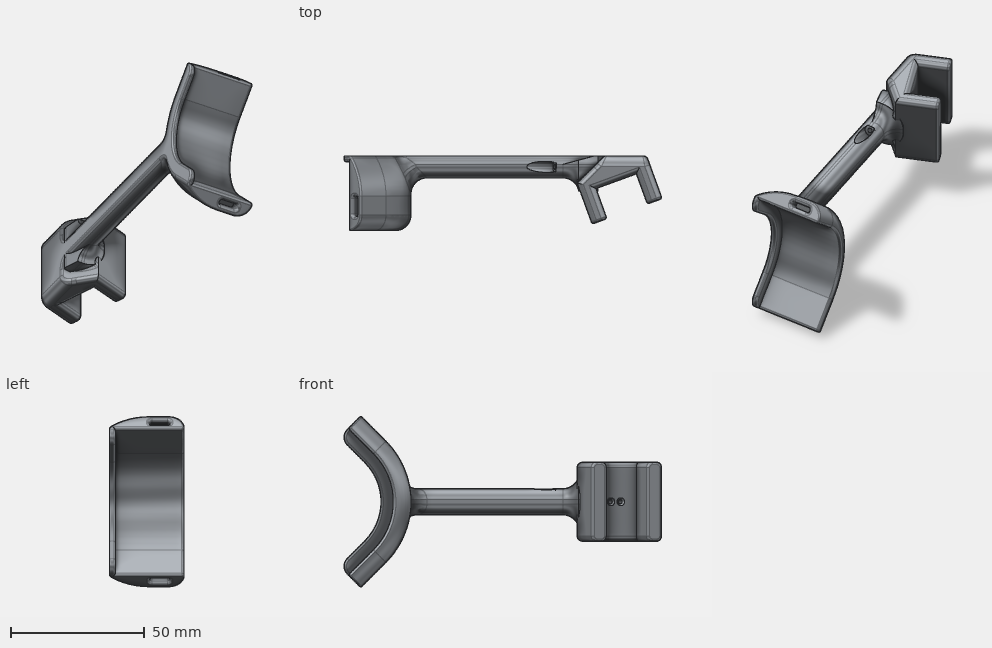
import cadquery as cq
import math

total_length = 118.6
edge_round = 1.0
back_overrun = 7.1
far = 237.3
tolerance = 0.001

cradle_depth = 28.0
cradle_outer_radius = 32.0
cradle_inner_radius = 25.4
cradle_back_radius = 26.3
cradle_crown_start = 15.1
cradle_front_round = 5.9
cradle_end_length = 13.3
end_outline_round = 0.6
cradle_half_angle = 45.0
cradle_core_radius = 9.5
lip_inner_radius = 20.8
lip_thickness = 2.3
lip_corner_round = 4.0
cradle_axis_x = (cradle_end_length - lip_inner_radius) * math.sqrt(0.5) - lip_corner_round * (
    math.sqrt(2) - 1
)

pocket_length = 7.5
pocket_width = 2.0
pocket_depth = 4.7
pocket_mouth_round = 1.2
pocket_corner_round = 0.8
pocket_y = -18.9
pocket_radius = (cradle_inner_radius + cradle_outer_radius) / 2

rod_height = 9.8
rod_front_y = -8.3
rod_back_y = 0.8
rod_round = 4.0
rod_start_x = 16.6
rod_end_x = 99.7
blend_radius = 5.9
joint_margin = 0.6
flare_face_x = 87.8
flare_end_x = 94.9
flare_spread = 4.9
flare_slope_start = (81.9, -3.2)
flare_slope_end = (93.7, 0.0)

clip_height = 29.7
clip_tilt = 20.0
leg_thickness = 5.9
slot_width = 16.0
slot_depth = 12.0
clip_side_round = 2.0
clip_back_round = 4.0
right_tip_y = -16.0
shoulder_y = -10.2

hole_count = 2
hole_diameter = 1.5
hole_mouth_diameter = 3.0
hole_mouth_depth = 0.7
hole_depth = 4.7
hole_spacing = 3.9
first_hole_from_leg = 5.9

eye_radius = 2.08
eye_y = -4.2
eye_start_x = 68.3
eye_length = 10.3
eye_slope = 20.0
eye_hole_diameter = 1.8
eye_hole_depth = 4.7


def along_cradle(section):
    """Carry a section (X = radius, Y = depth) along the cradle arc and its straight ends."""
    centre, axis_end = (0, 0, 0), (0, 1, 0)
    swept = section.revolve(2 * cradle_half_angle, centre, axis_end).rotate(
        centre, axis_end, -cradle_half_angle
    )
    for side in (1, -1):
        straight_end = section.toPending().extrude(side * cradle_end_length)
        swept = swept.union(straight_end.rotate(centre, axis_end, -side * cradle_half_angle))
    return swept.clean().translate((cradle_axis_x, 0, 0))


def cradle_blank():
    """Solid cradle, without its hollow, reaching behind the back face."""
    inset = cradle_outer_radius - cradle_back_radius
    bulge = (cradle_crown_start**2 + inset**2) / (2 * inset)

    def crown_point(y):
        rise = math.sqrt(bulge**2 - (y + cradle_crown_start) ** 2)
        return (cradle_outer_radius - bulge + rise, y)

    front_start = cradle_front_round - cradle_depth
    corner = cradle_front_round * (1 - math.sqrt(0.5))
    section = (
        cq.Workplane("XY")
        .moveTo(cradle_core_radius, back_overrun)
        .lineTo(*crown_point(back_overrun))
        .threePointArc(
            crown_point((back_overrun - cradle_crown_start) / 2),
            crown_point(-cradle_crown_start),
        )
        .lineTo(cradle_outer_radius, front_start)
        .threePointArc(
            (cradle_outer_radius - corner, corner - cradle_depth),
            (cradle_outer_radius - cradle_front_round, -cradle_depth),
        )
        .lineTo(cradle_core_radius, -cradle_depth)
        .close()
    )
    return along_cradle(section)


def cradle_hollow():
    """Space inside the cradle wall, stepped in behind to leave the lip."""
    core = cradle_core_radius - 1.2
    section = (
        cq.Workplane("XY")
        .moveTo(core, back_overrun)
        .lineTo(lip_inner_radius, back_overrun)
        .lineTo(lip_inner_radius, -lip_thickness)
        .lineTo(cradle_inner_radius, -lip_thickness)
        .lineTo(cradle_inner_radius, -cradle_depth - 1.2)
        .lineTo(core, -cradle_depth - 1.2)
        .close()
    )
    return along_cradle(section)


def rod_bar(start_x, end_x, spread=0.0):
    """Rounded bar along X with the rod's section, grown by spread on every side."""
    return (
        cq.Workplane("YZ", origin=(start_x, (rod_front_y + rod_back_y) / 2, 0))
        .rect(rod_back_y - rod_front_y + 2 * spread, rod_height + 2 * spread)
        .extrude(end_x - start_x)
        .edges("|X")
        .fillet(rod_round + spread)
    )


def joint_edges(start_x, end_x):
    """Selector for the edges where the rod enters another solid between two X places."""
    half_height = rod_height / 2 + joint_margin
    return cq.selectors.BoxSelector(
        (start_x, rod_front_y - joint_margin, -half_height),
        (end_x, rod_back_y + joint_margin, half_height),
    )


def clip_flare():
    """Widening of the rod that spreads over the clip's shoulder."""
    thickness = rod_end_x - flare_face_x
    slab = cq.Workplane("XY", origin=(flare_face_x + thickness / 2, 0, 0)).box(
        thickness, 2 * clip_height, 2 * clip_height
    )
    start_x = flare_face_x - 2 * blend_radius
    flare = rod_bar(start_x, rod_end_x).union(slab)
    flare = flare.edges(joint_edges(flare_face_x - joint_margin, flare_face_x + joint_margin)).fillet(
        blend_radius
    )
    flare = flare.intersect(rod_bar(start_x, flare_end_x, flare_spread))
    kept_outline = (
        cq.Workplane("XY")
        .moveTo(start_x, flare_slope_start[1])
        .lineTo(*flare_slope_start)
        .lineTo(*flare_slope_end)
        .lineTo(flare_end_x, flare_slope_end[1])
        .lineTo(flare_end_x, -cradle_depth)
        .lineTo(start_x, -cradle_depth)
        .close()
    )
    return flare.intersect(kept_outline.extrude(clip_height, both=True))


tilt_cos = math.cos(math.radians(clip_tilt))
tilt_sin = math.sin(math.radians(clip_tilt))
right_tip_x = total_length + edge_round * (tilt_cos + tilt_sin - 1)


def clip_point(across, up):
    """Point measured from the outer right tip, across the fork and up its legs."""
    return (
        right_tip_x + across * tilt_cos - up * tilt_sin,
        right_tip_y + across * tilt_sin + up * tilt_cos,
    )


slot_right = -leg_thickness
slot_left = slot_right - slot_width
fork_left = slot_left - leg_thickness


def clip_blank():
    """Sharp-edged clip, reaching behind the back face."""
    left_tip = clip_point(fork_left, 0)
    shoulder_x = left_tip[0] - (shoulder_y - left_tip[1]) * tilt_sin / tilt_cos
    outline = [
        clip_point(0, 0),
        clip_point(slot_right, 0),
        clip_point(slot_right, slot_depth),
        clip_point(slot_left, slot_depth),
        clip_point(slot_left, 0),
        left_tip,
        (shoulder_x, shoulder_y),
        (shoulder_x + back_overrun - shoulder_y, back_overrun),
        (right_tip_x + (right_tip_y - back_overrun) * tilt_sin / tilt_cos, back_overrun),
    ]
    return cq.Workplane("XY").polyline(outline).close().extrude(clip_height / 2, both=True)


def end_pocket(side):
    """Slot sunk into one slanted cradle end (side is +1 for the upper end, -1 for the lower)."""
    diagonal = math.sqrt(0.5)
    into_end = cq.Vector(1, 0, -side)
    mouth = cq.Plane(
        origin=(
            cradle_axis_x + (pocket_radius - cradle_end_length) * diagonal,
            pocket_y,
            side * (pocket_radius + cradle_end_length) * diagonal,
        ),
        xDir=(0, 1, 0),
        normal=into_end,
    )
    return (
        cq.Workplane(mouth)
        .rect(pocket_length, pocket_width)
        .extrude(pocket_depth)
        .edges(cq.selectors.ParallelDirSelector(into_end))
        .fillet(pocket_corner_round)
    )


def cable_hole(from_leg):
    """Blind hole with a widened mouth, square to the slot floor."""
    floor_x, floor_y = clip_point(slot_left + from_leg, slot_depth)
    floor = cq.Plane(origin=(floor_x, floor_y, 0), xDir=(0, 0, 1), normal=(-tilt_sin, tilt_cos, 0))
    bore = cq.Workplane(floor).circle(hole_diameter / 2).extrude(hole_depth)
    mouth = (
        cq.Workplane(floor)
        .circle(hole_mouth_diameter / 2)
        .workplane(offset=hole_mouth_depth)
        .circle(hole_diameter / 2)
        .loft()
    )
    return bore.union(mouth)


def rod_eye():
    """Round groove sinking into the rod toward the clip, with a small hole in its far end."""
    slope_cos = math.cos(math.radians(eye_slope))
    slope_sin = math.sin(math.radians(eye_slope))
    start = cq.Plane(
        origin=(eye_start_x + eye_radius * slope_sin, eye_y, rod_height / 2 + eye_radius * slope_cos),
        xDir=(0, 1, 0),
        normal=(slope_cos, 0, -slope_sin),
    )
    groove = cq.Workplane(start).circle(eye_radius).extrude(eye_length)
    hole = cq.Workplane(start).circle(eye_hole_diameter / 2).extrude(eye_length + eye_hole_depth)
    return groove.union(hole)


def points_on(edge):
    return [edge.positionAt(t) for t in (0, 0.5, 1)]


def cradle_radius(point):
    """Distance from the cradle axis on the arc, or from its tangent continuation on the ends."""
    x, z = point.x - cradle_axis_x, abs(point.z)
    return math.hypot(x, z) if z <= x else (x + z) * math.sqrt(0.5)


def runs_along_cradle(edge, radius, y):
    return all(
        abs(cradle_radius(p) - radius) < tolerance and abs(p.y - y) < tolerance for p in points_on(edge)
    )


def on_cradle_end(edge):
    return all(
        abs((abs(p.z) - p.x + cradle_axis_x) * math.sqrt(0.5) - cradle_end_length) < tolerance
        for p in points_on(edge)
    )


def is_lip_corner(edge):
    return on_cradle_end(edge) and all(
        abs(cradle_radius(p) - lip_inner_radius) < tolerance for p in points_on(edge)
    )


def is_end_outline(edge):
    """Outer rim of a cradle end face, from the back face round to the front face."""
    middle = edge.positionAt(0.5)
    return on_cradle_end(edge) and cradle_radius(middle) > cradle_back_radius + end_outline_round


def is_cradle_mouth(edge):
    """Inner rim of the cradle: along the front, down both ends, and along the lip."""
    down_end = on_cradle_end(edge) and all(
        abs(cradle_radius(p) - cradle_inner_radius) < tolerance for p in points_on(edge)
    )
    along_front = runs_along_cradle(edge, cradle_inner_radius, -cradle_depth)
    along_lip = runs_along_cradle(edge, lip_inner_radius, -lip_thickness)
    return down_end or along_front or along_lip


def is_pocket_mouth(edge):
    """Rim of a pocket in a cradle end face."""
    middle = edge.Center()
    return (
        on_cradle_end(edge)
        and abs(middle.y - pocket_y) < pocket_length / 2 + tolerance
        and abs(cradle_radius(middle) - pocket_radius) < pocket_width / 2 + tolerance
    )


def height_above_tips(edge):
    """How far the middle of an edge lies from the leg tips, measured up the legs."""
    middle = edge.Center()
    return (middle.y - right_tip_y) * tilt_cos - (middle.x - right_tip_x) * tilt_sin


def is_leg_tip(edge):
    """Rims of the flat free ends of the two clip legs."""
    return abs(height_above_tips(edge)) < tolerance


def is_clip_side(edge):
    """Outline of the clip's upper and lower faces, except at the leg tips."""
    return height_above_tips(edge) > tolerance and all(
        abs(abs(p.z) - clip_height / 2) < tolerance and p.x > rod_start_x + 2 * rod_height
        for p in points_on(edge)
    )


def is_clip_back(edge):
    """Upper and lower edges of the clip's back face."""
    return is_clip_side(edge) and abs(edge.Center().y) < tolerance


def round_edges(solid, wanted, radius):
    picked = [edge for edge in solid.edges().vals() if wanted(edge)]
    return solid.newObject(picked).fillet(radius)


body = cradle_blank().union(rod_bar(rod_start_x, rod_end_x)).union(clip_blank())
body = body.edges(joint_edges(rod_start_x, rod_start_x + rod_height)).fillet(blend_radius)
body = body.edges(joint_edges(rod_end_x - 2 * rod_height, rod_end_x)).fillet(blend_radius)
body = body.cut(cradle_hollow())
body = body.cut(cq.Workplane("XY").box(2 * far, far, far).translate((0, far / 2, 0)))

body = round_edges(body, is_clip_back, clip_back_round)
body = round_edges(body, is_clip_side, clip_side_round)
body = round_edges(body, is_leg_tip, edge_round)

body = round_edges(body, is_lip_corner, lip_corner_round)
body = round_edges(body, is_end_outline, end_outline_round)
body = round_edges(body, is_cradle_mouth, edge_round)

for side in (1, -1):
    body = body.cut(end_pocket(side))
body = round_edges(body, is_pocket_mouth, pocket_mouth_round)
body = body.union(clip_flare())
body = body.cut(rod_eye())
for hole in range(hole_count):
    body = body.cut(cable_hole(first_hole_from_leg + hole * hole_spacing))

result = body